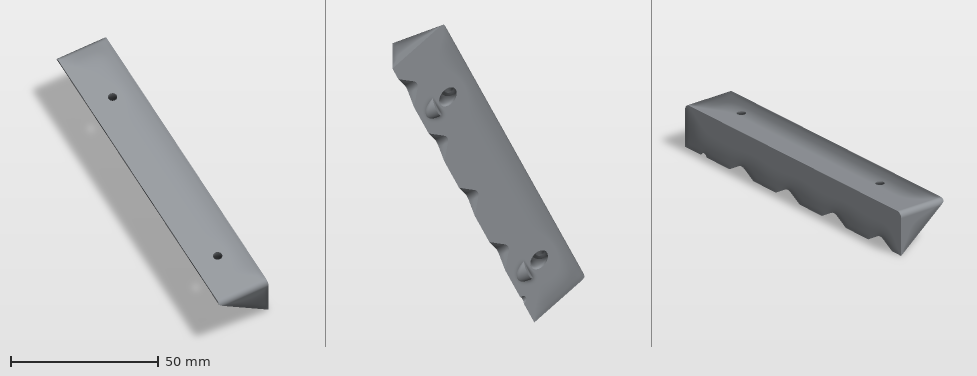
import cadquery as cq
import math

LENGTH = 117.0
DEPTH = 19.0
HEIGHT = 16.0
LIP_HEIGHT = 0.8
END_RADIUS = 2.0

FRONT = -DEPTH / 2
BACK = DEPTH / 2
BOTTOM = -HEIGHT

NOTCH_PITCH = 25.0
FIRST_NOTCH_X = -47.2
NOTCH_COUNT = 4
NOTCH_WIDTH = 13.0
NOTCH_ANGLE = math.radians(30)
NOTCH_TIP_RADIUS = 3.0

GROOVE_X = 48.4
GROOVE_DIAMETER = 3.2
GROOVE_DEPTH = 1.2

HOLE_XS = [FIRST_NOTCH_X + NOTCH_PITCH * steps for steps in (0.5, 3.5)]
HOLE_Y = -0.5
HOLE_DIAMETER = 3.2
HEAD_DIAMETER = 6.0
HEAD_SEAT_DEPTH = 3.5

BOSS_DIAMETER = 7.5
BOSS_LENGTH = 6.0
BOSS_DROP = 10.8


def make_wedge():
    profile = [(FRONT, 0), (BACK, 0), (BACK, BOTTOM), (FRONT, -LIP_HEIGHT)]
    wedge = cq.Workplane("YZ").polyline(profile).close().extrude(LENGTH / 2, both=True)
    return wedge.faces(">Z").edges("|Y").fillet(END_RADIUS)


def make_boss(x):
    plane = cq.Workplane("XZ", origin=(x, BACK, -BOSS_DROP))
    return plane.circle(BOSS_DIAMETER / 2).extrude(BOSS_LENGTH)


def make_screw_hole(x):
    shank = cq.Workplane("XY", origin=(x, HOLE_Y, BOTTOM)).circle(HOLE_DIAMETER / 2).extrude(HEIGHT)
    head_height = HEIGHT - HEAD_SEAT_DEPTH
    head = cq.Workplane("XY", origin=(x, HOLE_Y, BOTTOM)).circle(HEAD_DIAMETER / 2).extrude(head_height)
    return shank.union(head)


def make_notch(x):
    half_width = NOTCH_WIDTH / 2
    apex_height = half_width * math.tan(NOTCH_ANGLE)
    arc_center = apex_height - NOTCH_TIP_RADIUS / math.cos(NOTCH_ANGLE)
    tangent_x = NOTCH_TIP_RADIUS * math.sin(NOTCH_ANGLE)
    tangent_z = arc_center + NOTCH_TIP_RADIUS * math.cos(NOTCH_ANGLE)
    return (
        cq.Workplane("XZ", origin=(x, 0, BOTTOM))
        .moveTo(-half_width, 0)
        .lineTo(-tangent_x, tangent_z)
        .threePointArc((0, arc_center + NOTCH_TIP_RADIUS), (tangent_x, tangent_z))
        .lineTo(half_width, 0)
        .close()
        .extrude(DEPTH, both=True)
    )


def make_groove():
    radius = GROOVE_DIAMETER / 2
    center_z = BOTTOM + GROOVE_DEPTH - radius
    plane = cq.Workplane("XZ", origin=(GROOVE_X, 0, center_z))
    return plane.circle(radius).extrude(DEPTH, both=True)


result = make_wedge()
for hole_x in HOLE_XS:
    result = result.union(make_boss(hole_x))
    result = result.cut(make_screw_hole(hole_x))
for index in range(NOTCH_COUNT):
    result = result.cut(make_notch(FIRST_NOTCH_X + index * NOTCH_PITCH))
result = result.cut(make_groove())